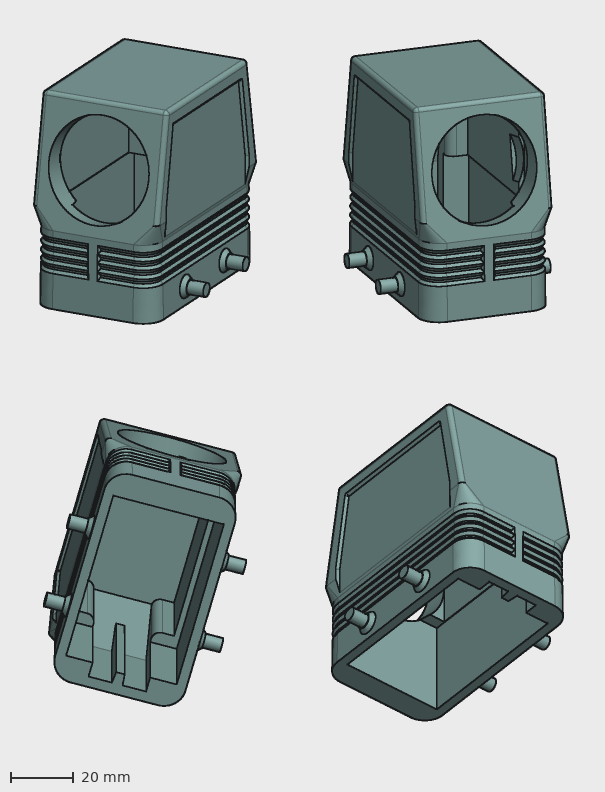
import cadquery as cq
import math

BASE_HALF_X = 21.5
BASE_HALF_Y = 36.5
BASE_TOP = 26.5
BASE_CORNER = 7.15
BASE_DRAFT = 0.6

HEIGHT = 70.0
HOUSING_HALF_X = 22.4
HOUSING_BOTTOM = 33.35
HOUSING_TOP_HALF_Y = 28.0
HOUSING_ROUND = 1.5

GROOVE_BOTTOM = 12.05
GROOVE_TOP = 24.0
GROOVE_COUNT = 4
GROOVE_DEPTH = 0.8
GROOVE_FLAT = 0.7
WEB_HALF_X = 1.5

PANEL_HALF_X = 21.45
PANEL_TOP = 63.9
PANEL_TOP_HALF_Y = 23.3
PANEL_KNEE = 37.2
PANEL_HALF_Y = 27.95
PANEL_WALL_ANGLE = 45.0

PEG_SPAN = 58.0
PEG_TIP_X = PEG_SPAN / 2
PEG_RADIUS = 2.3
PEG_Y = 13.7
PEG_Z = 6.35
COLLAR_END_X = 23.15
COLLAR_RADIUS = 3.95
COLLAR_END_RADIUS = 2.6

ENTRY_RADIUS = 17.9
ENTRY_Z = 47.9
ENTRY_DEPTH = 18.25

CAVITY_TOP = 63.95
CAVITY_LEFT_X = -18.1
CAVITY_RIGHT_X = 16.3
SLOT_X = -CAVITY_LEFT_X
SLOT_END_Y = -20.8
CAVITY_HALF_Y = 24.1
SOCKET_HALF_X = 18.25
SOCKET_HALF_Y = 28.1
SOCKET_TOP = 33.1
BAY_HALF_X = 9.5
BAY_EDGE_ROUND = 2.9
END_WALL = 2.7
BAY_KNEE = 29.2
RIB_FACE_HALF_X = 1.4
RIB_ROOT_HALF_X = 2.1
RIB_TOP = 45.25
RIB_FACE_Y = 29.2

CLEARANCE = 7.3


def draft_at(z):
    """Distance the drafted base walls have moved inward at height z."""
    return z * math.tan(math.radians(BASE_DRAFT))


SHOULDER_HALF_Y = BASE_HALF_Y - draft_at(BASE_TOP)
END_SLOPE = (SHOULDER_HALF_Y - HOUSING_TOP_HALF_Y) / (HEIGHT - BASE_TOP)


def end_wall_y(z):
    """Half length of the sloping end walls at height z."""
    return HOUSING_TOP_HALF_Y + END_SLOPE * (HEIGHT - z)


def rounded_sketch(half_x, half_y, radius):
    return cq.Sketch().rect(2 * half_x, 2 * half_y).vertices().fillet(radius)


def base_sketch(z, inset=0.0):
    """Rounded outline of the base at height z, optionally set in from the surface."""
    shrink = draft_at(z) + inset
    return rounded_sketch(BASE_HALF_X - shrink, BASE_HALF_Y - shrink, BASE_CORNER - shrink)


def loft_between(lower, z_low, upper, z_high):
    return (
        cq.Workplane("XY")
        .placeSketch(lower.moved(cq.Location(cq.Vector(0, 0, z_low))),
                     upper.moved(cq.Location(cq.Vector(0, 0, z_high))))
        .loft(ruled=True)
    )


def box_between(half_x, half_y, z_low, z_high):
    return (
        cq.Workplane("XY", origin=(0, 0, z_low))
        .rect(2 * half_x, 2 * half_y)
        .extrude(z_high - z_low)
    )


def prism_along_x(points, half_x):
    """Outline in the YZ plane, extruded equally to both sides."""
    return cq.Workplane("YZ").polyline(points).close().extrude(half_x, both=True)


def make_shell():
    """Solid outer body: drafted base, shoulder that widens in X, and sloping housing."""
    base = loft_between(base_sketch(0), 0, base_sketch(BASE_TOP), BASE_TOP)
    shoulder = loft_between(
        base_sketch(BASE_TOP), BASE_TOP,
        rounded_sketch(HOUSING_HALF_X, end_wall_y(HOUSING_BOTTOM), HOUSING_ROUND), HOUSING_BOTTOM,
    )
    bottom_y = end_wall_y(HOUSING_BOTTOM)
    housing = prism_along_x(
        [(-bottom_y, HOUSING_BOTTOM), (bottom_y, HOUSING_BOTTOM),
         (HOUSING_TOP_HALF_Y, HEIGHT), (-HOUSING_TOP_HALF_Y, HEIGHT)],
        HOUSING_HALF_X,
    )
    housing = housing.faces("not <Z").edges("not <Z").fillet(HOUSING_ROUND)
    return base.union(shoulder).union(housing)


def make_grooves():
    """Tool for the stacked V grooves, interrupted by a web at each end."""
    pitch = (GROOVE_TOP - GROOVE_BOTTOM) / GROOVE_COUNT
    slope_height = (pitch - GROOVE_FLAT) / 2
    grooves = cq.Workplane("XY")
    for index in range(GROOVE_COUNT):
        z_low = GROOVE_BOTTOM + index * pitch
        z_high = z_low + pitch
        flat_low = z_low + slope_height
        flat_high = z_high - slope_height
        levels = [(z_low, 0.0), (flat_low, GROOVE_DEPTH), (flat_high, GROOVE_DEPTH), (z_high, 0.0)]
        groove = box_between(BASE_HALF_X + CLEARANCE, BASE_HALF_Y + CLEARANCE, z_low, z_high)
        for (z_a, inset_a), (z_b, inset_b) in zip(levels, levels[1:]):
            groove = groove.cut(loft_between(base_sketch(z_a, inset_a), z_a, base_sketch(z_b, inset_b), z_b))
        grooves = grooves.add(groove)

    outer_y = BASE_HALF_Y - draft_at(GROOVE_BOTTOM)
    inner_y = outer_y - CLEARANCE
    web = (
        cq.Workplane("XY", origin=(0, 0, GROOVE_BOTTOM))
        .polyline([
            (-WEB_HALF_X - CLEARANCE, inner_y), (WEB_HALF_X + CLEARANCE, inner_y), (WEB_HALF_X, outer_y),
            (WEB_HALF_X, outer_y + 2 * CLEARANCE), (-WEB_HALF_X, outer_y + 2 * CLEARANCE),
            (-WEB_HALF_X, outer_y),
        ])
        .close()
        .extrude(GROOVE_TOP - GROOVE_BOTTOM)
    )
    return grooves.combine().cut(web).cut(web.mirror("XZ"))


def make_panel():
    """Tool for the +X side panel, its walls sloping outward from the flat floor."""
    return (
        cq.Workplane("YZ", origin=(PANEL_HALF_X, 0, 0))
        .polyline([
            (-PANEL_HALF_Y, BASE_TOP), (PANEL_HALF_Y, BASE_TOP), (PANEL_HALF_Y, PANEL_KNEE),
            (PANEL_TOP_HALF_Y, PANEL_TOP), (-PANEL_TOP_HALF_Y, PANEL_TOP), (-PANEL_HALF_Y, PANEL_KNEE),
        ])
        .close()
        .extrude(HOUSING_HALF_X - PANEL_HALF_X, taper=-PANEL_WALL_ANGLE)
    )


def make_peg(y):
    """Peg on the +X side with its conical collar, rooted inside the wall."""
    root_x = (SOCKET_HALF_X + BASE_HALF_X) / 2
    collar_x = BASE_HALF_X - draft_at(PEG_Z)
    return (
        cq.Workplane("XY", origin=(0, y, PEG_Z))
        .polyline([
            (root_x, 0), (root_x, COLLAR_RADIUS), (collar_x, COLLAR_RADIUS),
            (COLLAR_END_X, COLLAR_END_RADIUS), (COLLAR_END_X, PEG_RADIUS),
            (PEG_TIP_X, PEG_RADIUS), (PEG_TIP_X, 0),
        ])
        .close()
        .revolve(360, (0, 0, 0), (1, 0, 0))
    )


def make_cavity():
    """Room above a wider socket, with a rounded opening to a sloping bay on the +Y side."""
    room = (
        cq.Workplane("XY")
        .moveTo(CAVITY_LEFT_X, -CAVITY_HALF_Y)
        .lineTo(SLOT_X, -CAVITY_HALF_Y)
        .lineTo(SLOT_X, SLOT_END_Y)
        .lineTo(CAVITY_RIGHT_X, SLOT_END_Y)
        .lineTo(CAVITY_RIGHT_X, CAVITY_HALF_Y)
        .lineTo(BAY_HALF_X + BAY_EDGE_ROUND, CAVITY_HALF_Y)
        .radiusArc((BAY_HALF_X, CAVITY_HALF_Y + BAY_EDGE_ROUND), BAY_EDGE_ROUND)
        .lineTo(BAY_HALF_X, BASE_HALF_Y)
        .lineTo(-BAY_HALF_X, BASE_HALF_Y)
        .lineTo(-BAY_HALF_X, CAVITY_HALF_Y + BAY_EDGE_ROUND)
        .radiusArc((-BAY_HALF_X - BAY_EDGE_ROUND, CAVITY_HALF_Y), BAY_EDGE_ROUND)
        .lineTo(CAVITY_LEFT_X, CAVITY_HALF_Y)
        .close()
        .extrude(CAVITY_TOP)
    )
    low_y = end_wall_y(BAY_KNEE) - END_WALL
    high_y = end_wall_y(CAVITY_TOP) - END_WALL
    side_profile = prism_along_x(
        [(-CAVITY_HALF_Y, 0), (low_y, 0), (low_y, BAY_KNEE),
         (high_y, CAVITY_TOP), (-CAVITY_HALF_Y, CAVITY_TOP)],
        SOCKET_HALF_X,
    )
    socket = box_between(SOCKET_HALF_X, SOCKET_HALF_Y, 0, SOCKET_TOP)
    rib_root_y = end_wall_y(BAY_KNEE)
    rib = (
        cq.Workplane("XY")
        .polyline([
            (-RIB_FACE_HALF_X, RIB_FACE_Y), (RIB_FACE_HALF_X, RIB_FACE_Y),
            (RIB_ROOT_HALF_X, rib_root_y), (-RIB_ROOT_HALF_X, rib_root_y),
        ])
        .close()
        .extrude(RIB_TOP)
    )
    return room.intersect(side_profile).union(socket).cut(rib)


def make_cable_entry():
    """Cylinder entering the -Y end wall along its inward normal."""
    inward = cq.Vector(0, 1, -END_SLOPE).normalized()
    mouth = cq.Vector(0, -end_wall_y(ENTRY_Z), ENTRY_Z)
    return cq.Workplane(
        cq.Solid.makeCylinder(
            ENTRY_RADIUS, CLEARANCE + ENTRY_DEPTH, mouth - inward * CLEARANCE, inward
        )
    )


panel = make_panel()
result = make_shell().cut(make_grooves()).cut(panel).cut(panel.mirror("YZ"))
for peg_y in (-PEG_Y, PEG_Y):
    peg = make_peg(peg_y)
    result = result.union(peg).union(peg.mirror("YZ"))
result = result.cut(make_cavity()).cut(make_cable_entry())